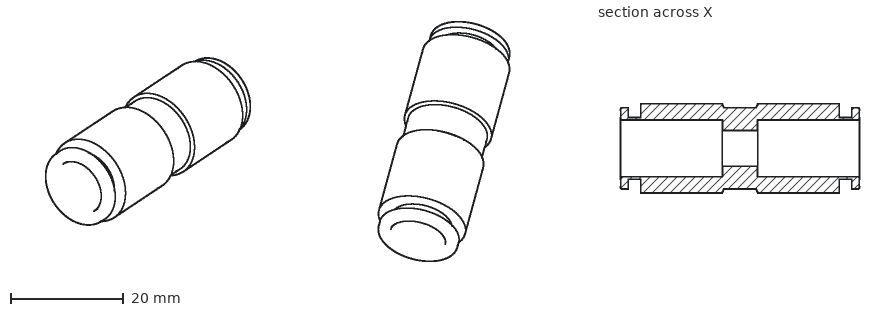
import cadquery as cq


total_length = 42.5
flange_thickness = 1.45
collar_neck_length = 2.15
body_length = 14.5
shoulder_length = 0.3

body_radius = 15.9 / 2
waist_radius = 14.5 / 2
flange_radius = waist_radius
collar_neck_radius = 11.0 / 2
tube_bore_radius = 10.0 / 2
through_hole_radius = 6.3 / 2

rim_fillet = 0.45

end_y = total_length / 2
flange_inner_y = end_y - flange_thickness
body_outer_y = flange_inner_y - collar_neck_length
body_inner_y = body_outer_y - body_length
waist_y = body_inner_y - shoulder_length
bore_floor_y = body_inner_y


def revolve_about_y(outline):
    return outline.close().revolve(360, (0, 0, 0), (0, 1, 0))


def centred_cylinder(radius, length):
    """Cylinder along Y, centred on the mid plane."""
    return cq.Workplane("XZ", origin=(0, length / 2, 0)).circle(radius).extrude(length)


def end_section():
    """Solid +Y end: shoulder, body, collar neck and rounded flange."""
    return revolve_about_y(
        cq.Workplane("XY")
        .moveTo(0, waist_y)
        .lineTo(waist_radius, waist_y)
        .lineTo(body_radius, body_inner_y)
        .lineTo(body_radius, body_outer_y)
        .lineTo(collar_neck_radius, body_outer_y)
        .lineTo(collar_neck_radius, flange_inner_y)
        .lineTo(flange_radius, flange_inner_y)
        .lineTo(flange_radius, end_y - rim_fillet)
        .radiusArc((flange_radius - rim_fillet, end_y), -rim_fillet)
        .lineTo(0, end_y)
    )


def tube_bore():
    """Space removed from the +Y end for the tube, flared by the rounded mouth."""
    return revolve_about_y(
        cq.Workplane("XY")
        .moveTo(0, bore_floor_y)
        .lineTo(tube_bore_radius, bore_floor_y)
        .lineTo(tube_bore_radius, end_y - rim_fillet)
        .radiusArc((tube_bore_radius + rim_fillet, end_y), rim_fillet)
        .lineTo(0, end_y)
    )


def both_ends(feature):
    """The +Y feature together with its mirror image at -Y."""
    return feature, feature.mirror("XZ")


result = centred_cylinder(waist_radius, 2 * waist_y)
for section in both_ends(end_section()):
    result = result.union(section)
for bore in both_ends(tube_bore()):
    result = result.cut(bore)
result = result.cut(centred_cylinder(through_hole_radius, total_length))